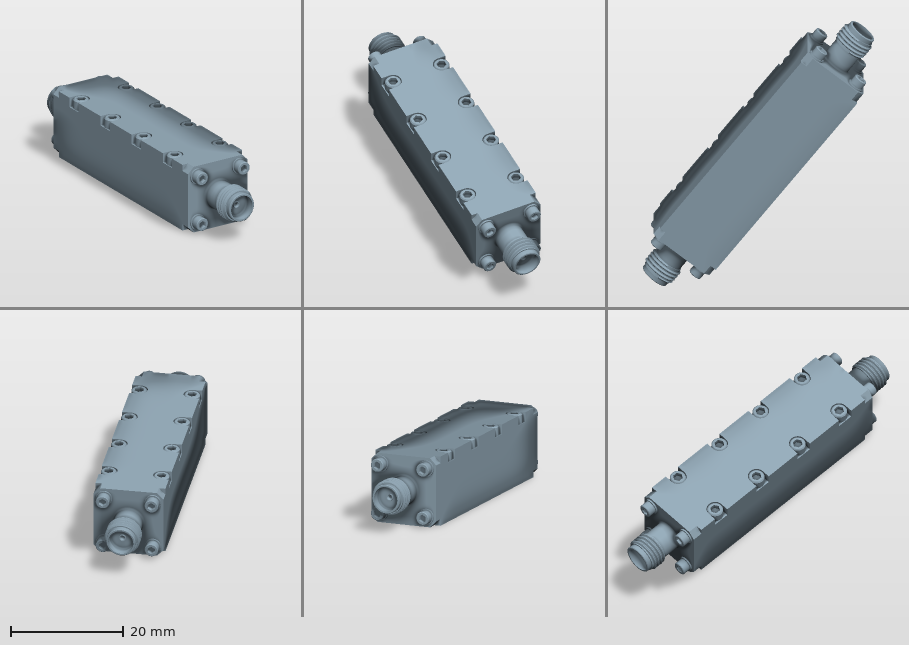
import cadquery as cq

TOTAL_LENGTH = 59.8
SIDE = 12.7
HOUSING_LENGTH = 40.4
FLANGE_THICKNESS = 1.85
FLANGE_CHAMFER = 1.2
FLANGE_FACE = HOUSING_LENGTH / 2 + FLANGE_THICKNESS
OVERLAP = 0.1

BARREL_DIAMETER = 5.3
BARREL_LENGTH = TOTAL_LENGTH / 2 - FLANGE_FACE
BARREL_ROOT_FILLET = 0.35
BARREL_RIM_CHAMFER = 0.1
BORE_DIAMETER = 4.55
BORE_DEPTH = 2.0
BORE_FILLET = 0.3
PIN_DIAMETER = 1.25
PIN_HEIGHT = 0.3
PIN_HOLE_DIAMETER = 0.52
PIN_HOLE_DEPTH = 1.2
PIN_COUNTERSINK_DIAMETER = 1.0

THREAD_DIAMETER = 6.4
THREAD_CORE_DIAMETER = 5.75
THREAD_PITCH = 0.7
THREAD_TURNS = 4
THREAD_BAND_START = 0.95
THREAD_BAND_LENGTH = 3.1
THREAD_LEAD_IN = 0.5
THREAD_ROOT_WIDTH = 0.65
THREAD_CREST_WIDTH = 0.1

WASHER_DIAMETER = 2.9
WASHER_THICKNESS = 0.3
FLANGE_HEAD_DIAMETER = 2.45
FLANGE_HEAD_HEIGHT = 1.5
FLANGE_HEAD_CHAMFER = 0.1
FLANGE_SOCKET = 1.5
FLANGE_SCREW_OFFSET = 4.4
SOCKET_DEPTH = 0.9

COVER_SCREW_XS = (-15.3, -5.1, 5.1, 15.3)
COVER_SCREW_Y = 4.8
POCKET_WIDTH = 3.05
POCKET_DEPTH = 1.8
COVER_HEAD_DIAMETER = 2.85
COVER_HEAD_CHAMFER = 0.21
COVER_SOCKET = 1.8


def cylinder(diameter, bottom, top):
    """Upright cylinder on the Z axis between two heights."""
    return cq.Workplane("XY", origin=(0, 0, bottom)).circle(diameter / 2).extrude(top - bottom)


def cone(bottom_diameter, bottom, top_diameter, top):
    """Upright truncated cone on the Z axis between two heights."""
    lower = cq.Workplane("XY", origin=(0, 0, bottom)).circle(bottom_diameter / 2)
    return lower.workplane(offset=top - bottom).circle(top_diameter / 2).loft()


def screw_head(diameter, height, rim_chamfer, socket_corners):
    """Screw head standing on Z = 0 with a chamfered rim and a hexagonal recess."""
    head = cylinder(diameter, -OVERLAP, height).faces(">Z").chamfer(rim_chamfer)
    socket = cq.Workplane("XY", origin=(0, 0, height - SOCKET_DEPTH))
    return head.cut(socket.polygon(6, socket_corners).extrude(SOCKET_DEPTH))


def flange_screw():
    """Washer on Z = 0 carrying a screw head."""
    washer = cylinder(WASHER_DIAMETER, -OVERLAP, WASHER_THICKNESS)
    head = screw_head(FLANGE_HEAD_DIAMETER, FLANGE_HEAD_HEIGHT, FLANGE_HEAD_CHAMFER, FLANGE_SOCKET)
    return washer.union(head.translate((0, 0, WASHER_THICKNESS)))


def thread():
    """Threaded band along Z: a core with a helical ridge that fades out at both ends."""
    band_top = BARREL_LENGTH - THREAD_BAND_START
    band_bottom = band_top - THREAD_BAND_LENGTH
    root_radius = THREAD_CORE_DIAMETER / 2 - OVERLAP
    crest_radius = THREAD_DIAMETER / 2
    helix_length = THREAD_PITCH * THREAD_TURNS
    helix_bottom = band_bottom + (THREAD_BAND_LENGTH - helix_length) / 2
    path = cq.Wire.makeHelix(THREAD_PITCH, helix_length, root_radius)
    profile = (
        cq.Workplane("XZ")
        .moveTo(root_radius, -THREAD_ROOT_WIDTH / 2)
        .lineTo(crest_radius, -THREAD_CREST_WIDTH / 2)
        .lineTo(crest_radius, THREAD_CREST_WIDTH / 2)
        .lineTo(root_radius, THREAD_ROOT_WIDTH / 2)
        .close()
    )
    ridge = profile.sweep(cq.Workplane(path), isFrenet=True).translate((0, 0, helix_bottom))
    envelope_diameter = THREAD_DIAMETER + OVERLAP
    lower_end = band_bottom + THREAD_LEAD_IN
    upper_end = band_top - THREAD_LEAD_IN
    envelope = (
        cone(THREAD_CORE_DIAMETER, band_bottom, envelope_diameter, lower_end)
        .union(cylinder(envelope_diameter, lower_end, upper_end))
        .union(cone(envelope_diameter, upper_end, THREAD_CORE_DIAMETER, band_top))
    )
    return ridge.intersect(envelope).union(cylinder(THREAD_CORE_DIAMETER, band_bottom, band_top))


def barrel():
    """Plain barrel standing on Z = 0, flared at the flange and chamfered at the rim."""
    radius = BARREL_DIAMETER / 2
    flare_radius = radius + BARREL_ROOT_FILLET
    half_profile = (
        cq.Workplane("XZ")
        .moveTo(0, -OVERLAP)
        .lineTo(flare_radius, -OVERLAP)
        .lineTo(flare_radius, 0)
        .radiusArc((radius, BARREL_ROOT_FILLET), BARREL_ROOT_FILLET)
        .lineTo(radius, BARREL_LENGTH - BARREL_RIM_CHAMFER)
        .lineTo(radius - BARREL_RIM_CHAMFER, BARREL_LENGTH)
        .lineTo(0, BARREL_LENGTH)
        .close()
    )
    return half_profile.revolve(360, (0, 0, 0), (0, 1, 0))


def connector():
    """Threaded coaxial socket standing on Z = 0 with its mouth facing +Z."""
    floor = BARREL_LENGTH - BORE_DEPTH
    pin_top = floor + PIN_HEIGHT
    countersink_depth = (PIN_COUNTERSINK_DIAMETER - PIN_HOLE_DIAMETER) / 2
    bore = cylinder(BORE_DIAMETER, floor, BARREL_LENGTH)
    bore = bore.faces("<Z").edges().fillet(BORE_FILLET)
    pin = cylinder(PIN_DIAMETER, floor - OVERLAP, pin_top)
    pin_hole = cylinder(PIN_HOLE_DIAMETER, pin_top - PIN_HOLE_DEPTH, pin_top)
    countersink = cone(PIN_HOLE_DIAMETER, pin_top - countersink_depth, PIN_COUNTERSINK_DIAMETER, pin_top)
    shell = barrel().union(thread()).cut(bore)
    return shell.union(pin).cut(pin_hole).cut(countersink)


def end_fitting():
    """Flange, four screws and connector, pointing along +X from the housing end."""
    flange = cq.Workplane("XY").rect(SIDE, SIDE).extrude(FLANGE_THICKNESS)
    flange = flange.edges("|Z").chamfer(FLANGE_CHAMFER)
    fitting = flange.union(connector().translate((0, 0, FLANGE_THICKNESS)))
    for x in (-FLANGE_SCREW_OFFSET, FLANGE_SCREW_OFFSET):
        for y in (-FLANGE_SCREW_OFFSET, FLANGE_SCREW_OFFSET):
            fitting = fitting.union(flange_screw().translate((x, y, FLANGE_THICKNESS)))
    return fitting.rotate((0, 0, 0), (0, 1, 0), 90).translate((HOUSING_LENGTH / 2, 0, 0))


def screw_pocket():
    """Round-ended slot below Z = 0 that runs out towards +Y."""
    pocket = cylinder(POCKET_WIDTH, -POCKET_DEPTH, 0)
    run_out = cq.Workplane("XY").box(POCKET_WIDTH, SIDE, POCKET_DEPTH, centered=(True, False, False))
    return pocket.union(run_out.translate((0, 0, -POCKET_DEPTH)))


def housing():
    """Long square block with two rows of sunk cover screws in its top face."""
    block = cq.Workplane("XY").box(HOUSING_LENGTH, SIDE, SIDE)
    pocket = screw_pocket()
    cover_screw = screw_head(COVER_HEAD_DIAMETER, POCKET_DEPTH, COVER_HEAD_CHAMFER, COVER_SOCKET)
    cover_screw = cover_screw.translate((0, 0, -POCKET_DEPTH))
    for side_angle in (0, 180):
        for x in COVER_SCREW_XS:
            place = (x, COVER_SCREW_Y, SIDE / 2)
            block = block.cut(pocket.translate(place).rotate((0, 0, 0), (0, 0, 1), side_angle))
            block = block.union(cover_screw.translate(place).rotate((0, 0, 0), (0, 0, 1), side_angle))
    return block


right_end = end_fitting()
left_end = right_end.rotate((0, 0, 0), (0, 0, 1), 180)
result = housing().union(right_end).union(left_end)